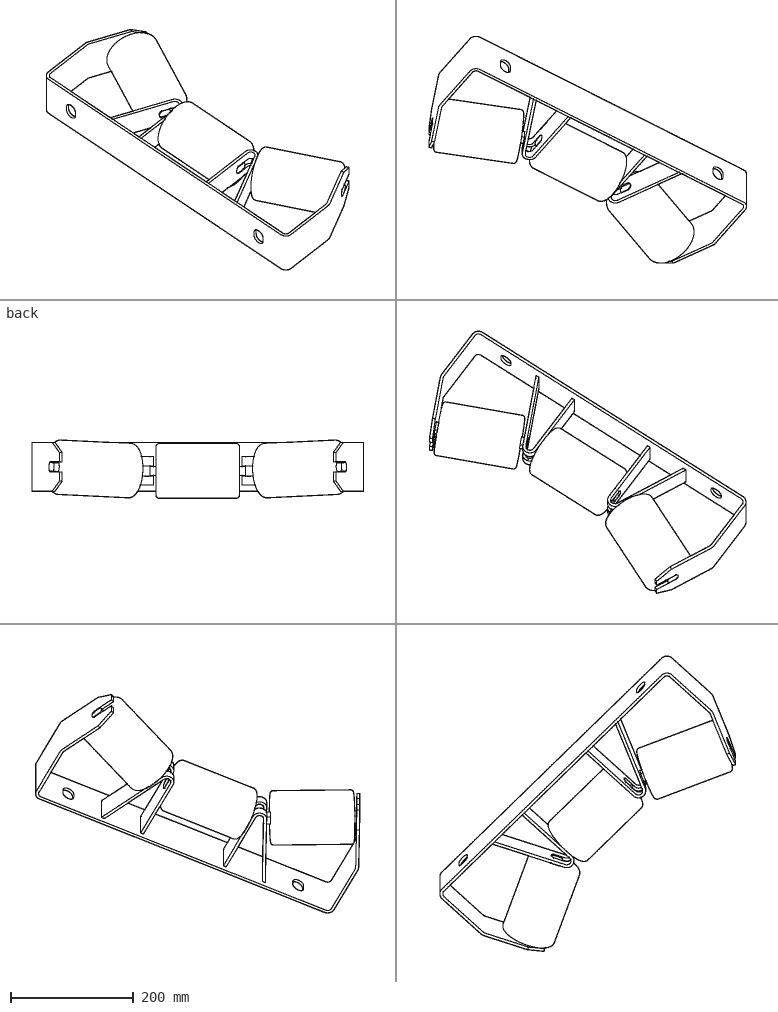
import cadquery as cq
import math


sheet_thickness = 5.0

frame_length = 540.0
strip_width = 80.0
corner_radius = 12.0
elbow_radius = 12.5
elbow_height = 103.0
arm_length = 106.0
tip_cut_length = 28.0
tip_cut_width = 17.0

mount_slot_spacing = 417.0
mount_slot_width = 19.5
mount_slot_length = 27.5

bracket_width = 46.5
bracket_wall_x = 72.5
bracket_bend_radius = 12.0
bracket_bend_height = 115.0

roller_diameter = 89.0
roller_length = 136.0
roller_edge_radius = 5.0
shaft_diameter = 20.0
shaft_flat_width = 14.0
shaft_length = 2 * (bracket_wall_x + sheet_thickness)
shaft_slot_width = 17.0

trough_angle = 25.0
tilt_angle = 2.5
middle_axis_height = 99.0
arm_seat_distance = 75.0

sin_trough = math.sin(math.radians(trough_angle))
cos_trough = math.cos(math.radians(trough_angle))
tan_trough = sin_trough / cos_trough

elbow_x = -frame_length / 2
inner_end_z = -shaft_length * math.sin(math.radians(tilt_angle))


def arm_point(along, inward=0):
    """Point on the left arm, measured from the outer elbow corner."""
    x = elbow_x + along * sin_trough + inward * cos_trough
    y = elbow_height + along * cos_trough - inward * sin_trough
    return x, y


def mirrored(shape):
    """Copy of a left-hand shape for the right-hand side."""
    return shape.mirror("YZ")


def place_on_left_axis(shape):
    """Move a shape from the X axis to the left roller's axis, centred on the roller."""
    x, y = arm_point(arm_seat_distance, shaft_length / 2)
    return (
        shape.rotate((0, 0, 0), (0, 1, 0), tilt_angle)
        .rotate((0, 0, 0), (0, 0, 1), -trough_angle)
        .translate((x, y, inner_end_z / 2))
    )


def place_on_middle_axis(shape):
    """Move a shape from the X axis to the middle roller's axis."""
    return shape.translate((0, middle_axis_height, inner_end_z))


def shaft_slot_cutter(end_x, reach):
    """Open slot around a shaft end on the X axis: runs towards +Y, closed by the shaft's curve."""
    depth = 3 * sheet_thickness
    shaft_radius = shaft_diameter / 2
    half_width = shaft_slot_width / 2
    curve_start = -math.sqrt(shaft_radius**2 - half_width**2)
    return (
        cq.Workplane("YZ", origin=(end_x - depth / 2, 0, 0))
        .moveTo(reach, half_width)
        .lineTo(curve_start, half_width)
        .threePointArc((-shaft_radius, 0), (curve_start, -half_width))
        .lineTo(reach, -half_width)
        .close()
        .extrude(depth)
    )


def cylinder_along_x(diameter, length):
    """Cylinder on the X axis, centred on the origin."""
    return cq.Workplane("YZ", origin=(-length / 2, 0, 0)).circle(diameter / 2).extrude(length)


def make_roller():
    """Roller on the X axis with rounded rims and a flatted shaft end on each side."""
    drum = cylinder_along_x(roller_diameter, roller_length).edges().fillet(roller_edge_radius)
    shaft = cylinder_along_x(shaft_diameter, shaft_length)
    flats = cq.Workplane("XY").box(shaft_length, shaft_diameter, shaft_flat_width)
    return drum.union(shaft.intersect(flats))


def round_upright_edge(body, point, radius):
    """Fillet the edge along Z that is nearest to the given XY point."""
    return body.edges("|Z").edges(cq.NearestToPointSelector((*point, 0))).fillet(radius)


def arm_tip_cutter():
    """Slanted cuts at both corners of the left arm's tip."""
    arm_face = cq.Plane(
        origin=(*arm_point(arm_length), 0),
        xDir=(sin_trough, cos_trough, 0),
        normal=(cos_trough, -sin_trough, 0),
    )
    half_width = strip_width / 2
    cutter = cq.Workplane(arm_face)
    for side in (-1, 1):
        cutter = cutter.polyline([
            (0, side * (half_width - tip_cut_width)),
            (0, side * half_width),
            (-tip_cut_length, side * half_width),
        ]).close()
    return cutter.extrude(sheet_thickness)


def make_frame():
    """Strip bent into base, two uprights and two leaning arms."""
    inner_x = elbow_x + sheet_thickness
    elbow_setback = sheet_thickness * math.tan(math.radians(trough_angle / 2))
    left_outer = [arm_point(arm_length), (elbow_x, elbow_height), (elbow_x, 0)]
    left_inner = [
        (inner_x, sheet_thickness),
        (inner_x, elbow_height - elbow_setback),
        arm_point(arm_length, sheet_thickness),
    ]
    right_outer = [(-x, y) for x, y in reversed(left_outer)]
    right_inner = [(-x, y) for x, y in reversed(left_inner)]
    frame = (
        cq.Workplane("XY")
        .polyline(left_outer + right_outer + right_inner + left_inner)
        .close()
        .extrude(strip_width / 2, both=True)
    )

    bends = [
        (left_outer[1], elbow_radius),
        (left_outer[2], corner_radius),
        (left_inner[0], corner_radius - sheet_thickness),
        (left_inner[1], elbow_radius - sheet_thickness),
    ]
    for (x, y), radius in bends:
        frame = round_upright_edge(frame, (x, y), radius)
        frame = round_upright_edge(frame, (-x, y), radius)

    mount_slots = (
        cq.Workplane("XZ")
        .pushPoints([(-mount_slot_spacing / 2, 0), (mount_slot_spacing / 2, 0)])
        .slot2D(mount_slot_length, mount_slot_width, 90)
        .extrude(-sheet_thickness)
    )
    frame = frame.cut(mount_slots)

    shaft_slot = place_on_left_axis(shaft_slot_cutter(-shaft_length / 2, arm_length))
    for cutter in (arm_tip_cutter(), shaft_slot):
        frame = frame.cut(cutter).cut(mirrored(cutter))
    return frame


def make_left_bracket():
    """Strip bent over into an upright wall and a leaning leg, slotted through its bend."""
    bend_x = -bracket_wall_x - bracket_bend_radius
    inner_radius = bracket_bend_radius - sheet_thickness
    half_turn = math.radians((180 - trough_angle) / 2)

    def bend_point(radius, angle):
        return bend_x + radius * math.cos(angle), bracket_bend_height + radius * math.sin(angle)

    def foot_point(radius):
        x, y = bend_point(radius, 2 * half_turn)
        return x - (y - sheet_thickness) * tan_trough, sheet_thickness

    bracket = (
        cq.Workplane("XY")
        .moveTo(bend_x + bracket_bend_radius, sheet_thickness)
        .lineTo(*bend_point(bracket_bend_radius, 0))
        .threePointArc(
            bend_point(bracket_bend_radius, half_turn),
            bend_point(bracket_bend_radius, 2 * half_turn),
        )
        .lineTo(*foot_point(bracket_bend_radius))
        .lineTo(*foot_point(inner_radius))
        .lineTo(*bend_point(inner_radius, 2 * half_turn))
        .threePointArc(bend_point(inner_radius, half_turn), bend_point(inner_radius, 0))
        .lineTo(bend_x + inner_radius, sheet_thickness)
        .close()
        .extrude(bracket_width / 2, both=True)
        .translate((0, 0, inner_end_z))
    )

    slot_reach = bracket_bend_height + bracket_bend_radius - middle_axis_height
    wall_slot = place_on_middle_axis(shaft_slot_cutter(-shaft_length / 2, slot_reach))
    leg_slot = place_on_left_axis(shaft_slot_cutter(shaft_length / 2, slot_reach))
    bend_slot = (
        cq.Workplane("XY")
        .box(3 * bracket_bend_radius, bracket_bend_radius, shaft_slot_width, centered=(True, False, True))
        .translate((bend_x, bracket_bend_height, inner_end_z))
    )
    return bracket.cut(wall_slot).cut(leg_slot).cut(bend_slot)


frame = make_frame()
left_bracket = make_left_bracket()
brackets = [left_bracket, mirrored(left_bracket)]
middle_roller = place_on_middle_axis(make_roller())
left_roller = place_on_left_axis(make_roller())
rollers = [left_roller, middle_roller, mirrored(left_roller)]

result = cq.Compound.makeCompound([body.val() for body in [frame, *brackets, *rollers]])